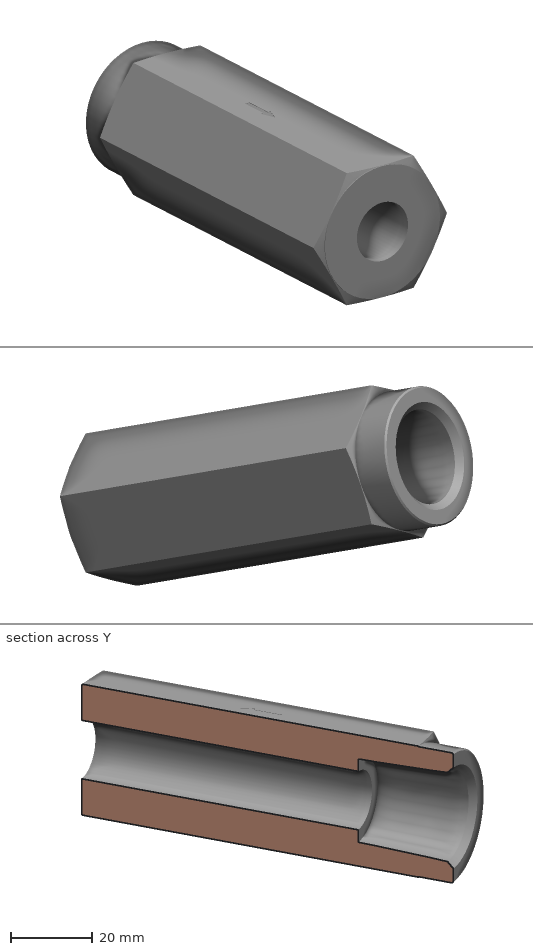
import cadquery as cq
import math

length = 101.6
across_flats = 35.0
across_corners = across_flats / math.cos(math.radians(30))

collar_diameter = 34.7
collar_length = 9.5
collar_edge_chamfer = 0.4
end_face_length = 0.2

corner_angle = math.radians(15)
corner_trim = (across_corners - collar_diameter) / 2 * math.tan(corner_angle)

bore_diameter = 15.4
port_mouth_diameter = 26.8
port_diameter = 23.6
port_end_diameter = 22.0
port_taper = 1 / 16
port_chamfer_depth = (port_mouth_diameter - port_diameter) / 2
port_depth = port_chamfer_depth + (port_diameter - port_end_diameter) / port_taper

arrow_start = 48.4
arrow_neck = 56.2
arrow_tip = 60.2
arrow_center_y = -2.8
arrow_shaft_width = 1.3
arrow_head_width = 2.8
arrow_depth = 0.1


def turned(profile):
    """Revolve a closed (x, radius) outline about the X axis."""
    return cq.Workplane("XY").polyline(profile).close().revolve(360, (0, 0, 0), (1, 0, 0))


def turned_envelope():
    """Collar, conical shoulders and end face that bound the hexagon."""
    collar_radius = collar_diameter / 2
    corner_radius = across_corners / 2
    far_shoulder = length - end_face_length
    return turned([
        (0, 0),
        (0, collar_radius - collar_edge_chamfer),
        (collar_edge_chamfer, collar_radius),
        (collar_length, collar_radius),
        (collar_length + corner_trim, corner_radius),
        (far_shoulder - corner_trim, corner_radius),
        (far_shoulder, collar_radius),
        (length, collar_radius),
        (length, 0),
    ])


def hexagon_bar():
    """Full-length hexagon with flats facing up and down and corners on Y."""
    return cq.Workplane("YZ").polygon(6, across_corners).extrude(length)


def bore_and_port():
    """Through bore with a chamfered, tapered port at the collar end."""
    return turned([
        (0, 0),
        (0, port_mouth_diameter / 2),
        (port_chamfer_depth, port_diameter / 2),
        (port_depth, port_end_diameter / 2),
        (port_depth, bore_diameter / 2),
        (length, bore_diameter / 2),
        (length, 0),
    ])


def flow_arrow():
    """Arrow pointing to +X, sunk into the top flat."""
    half_shaft = arrow_shaft_width / 2
    half_head = arrow_head_width / 2
    return (
        cq.Workplane("XY", origin=(0, arrow_center_y, across_flats / 2))
        .polyline([
            (arrow_start, -half_shaft),
            (arrow_neck, -half_shaft),
            (arrow_neck, -half_head),
            (arrow_tip, 0),
            (arrow_neck, half_head),
            (arrow_neck, half_shaft),
            (arrow_start, half_shaft),
        ])
        .close()
        .extrude(-arrow_depth)
    )


body = hexagon_bar().intersect(turned_envelope())
result = body.cut(bore_and_port()).cut(flow_arrow())